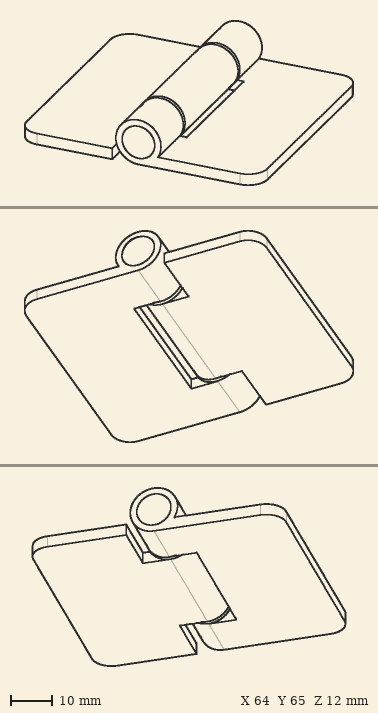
import cadquery as cq
import math

hinge_width = 64.0
hinge_length = 65.0
leaf_length = 60.0
leaf_thickness = 3.0
corner_radius = 5.0
barrel_diameter = 12.0
barrel_clearance = 1.0
middle_knuckle_length = 31.45
washer_thickness = 1.05
notch_clearance = 0.1
dome_radius = 5.0

half_width = hinge_width / 2
half_leaf = leaf_length / 2
barrel_radius = barrel_diameter / 2
axis_height = barrel_radius
notch_depth = barrel_radius + barrel_clearance
half_middle = middle_knuckle_length / 2
outer_knuckle_start = half_middle + washer_thickness
right_notch_end = outer_knuckle_start + notch_clearance
dome_height = (hinge_length - leaf_length) / 2
pin_radius = math.sqrt(dome_radius**2 - (dome_radius - dome_height) ** 2)


def cylinder_along_y(radius, y_start, y_end):
    """Solid cylinder on the hinge axis between two Y positions."""
    length = y_end - y_start
    return cq.Workplane(
        cq.Solid.makeCylinder(radius, length, cq.Vector(0, y_start, axis_height), cq.Vector(0, 1, 0))
    )


def make_leaf(side, knuckle_spans, notch_spans):
    """Plate on one side of the axis (side = -1 or 1), with its knuckles, notches and pin hole."""
    leaf = (
        cq.Workplane("XY")
        .box(half_width, leaf_length, leaf_thickness, centered=(True, True, False))
        .translate((side * half_width / 2, 0, 0))
        .edges("|Z")
        .edges("<X" if side < 0 else ">X")
        .fillet(corner_radius)
    )
    for y_start, y_end in notch_spans:
        notch = (
            cq.Workplane("XY")
            .box(notch_depth, y_end - y_start, leaf_thickness, centered=(True, False, False))
            .translate((side * notch_depth / 2, y_start, 0))
        )
        leaf = leaf.cut(notch)
    for y_start, y_end in knuckle_spans:
        leaf = leaf.union(cylinder_along_y(barrel_radius, y_start, y_end))
    return leaf.cut(cylinder_along_y(pin_radius, -half_leaf, half_leaf))


def make_washer(y_start):
    """Spacer ring filling the space between two neighbouring knuckles."""
    y_end = y_start + washer_thickness
    ring = cylinder_along_y(barrel_radius, y_start, y_end)
    return ring.cut(cylinder_along_y(pin_radius, y_start, y_end))


def make_pin():
    """Round pin with a spherical dome past each end of the barrel."""
    half_length = hinge_length / 2
    mid_angle = math.asin(pin_radius / dome_radius) / 2
    dome_rise = dome_radius * (1 - math.cos(mid_angle))
    dome_mid_radius = dome_radius * math.sin(mid_angle)
    profile = (
        cq.Workplane("XY")
        .moveTo(0, -half_length)
        .threePointArc((dome_mid_radius, -half_length + dome_rise), (pin_radius, -half_leaf))
        .lineTo(pin_radius, half_leaf)
        .threePointArc((dome_mid_radius, half_length - dome_rise), (0, half_length))
        .close()
    )
    return profile.revolve(360, (0, 0, 0), (0, 1, 0)).translate((0, 0, axis_height))


middle_span = [(-half_middle, half_middle)]
left_notches = [(-half_leaf, -half_middle), (half_middle, half_leaf)]
outer_spans = [(-half_leaf, -outer_knuckle_start), (outer_knuckle_start, half_leaf)]
right_notch = [(-right_notch_end, right_notch_end)]

left_leaf = make_leaf(-1, middle_span, left_notches)
right_leaf = make_leaf(1, outer_spans, right_notch)
pin = make_pin()
washers = [make_washer(y_start) for y_start in (-outer_knuckle_start, half_middle)]

result = cq.Compound.makeCompound(
    [
        left_leaf.solids().val(),
        right_leaf.solids().val(),
        pin.val(),
        *[washer.solids().val() for washer in washers],
    ]
)